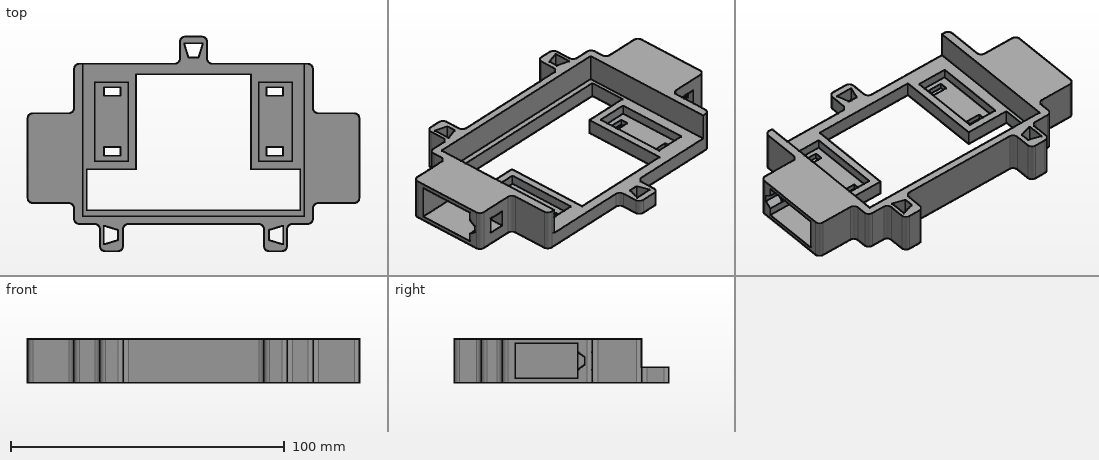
import cadquery as cq

TOTAL_LENGTH = 121.3
HEIGHT = 16.1
BODY_WIDTH = 87.3
BODY_DEPTH = 58.6
EDGE_RADIUS = 2.0

TRAY_WIDTH = 80.8
TRAY_FRONT = 2.9
FLOOR_HEIGHT = 5.8

FRONT_OPENING_WIDTH = 77.9
FRONT_OPENING_START = 5.1
OPENING_STEP = 20.0
REAR_OPENING_WIDTH = 42.0
REAR_OPENING_END = 54.7

POCKET_CENTER_X = 30.0
POCKET_WIDTH = 12.1
POCKET_START = 22.9
POCKET_LENGTH = 28.9
POCKET_FLOOR = 2.2
SLOT_CENTER_X = 29.7
SLOT_WIDTH = 6.0
SLOT_LENGTH = 3.0
SLOT_CENTERS_Y = (26.6, 48.4)

BLOCK_FRONT = 7.6
BLOCK_DEPTH = 32.9
SOCKET_FRONT = 12.4
SOCKET_WIDTH = 22.9
SOCKET_WALL = 1.7
SOCKET_DEPTH = (TOTAL_LENGTH - BODY_WIDTH) / 2

GROOVE_DEPTH = 2.5
GROOVE_LENGTH = 5.8
GROOVE_MOUTH_HEIGHT = 6.3
GROOVE_BASE_HEIGHT = 2.7
LATCH_WINDOW_LENGTH = 6.1

LUG_REACH = 10.0
REAR_LUG_WIDTH = 10.0
FRONT_LUG_CENTER_X = 30.0
FRONT_LUG_WIDTH = 8.5
DOVETAIL_DEPTH = 5.1
DOVETAIL_WIDE = 6.8
DOVETAIL_NARROW = 3.6
REAR_DOVETAIL_WALL = 2.5
FRONT_DOVETAIL_WALL = 1.5
FRONT_DOVETAIL_Y = -4.0

BLOCK_BACK = BLOCK_FRONT + BLOCK_DEPTH
SOCKET_BACK = SOCKET_FRONT + SOCKET_WIDTH
SOCKET_MOUTH_X = -TOTAL_LENGTH / 2


def box(x_center, width, y_start, y_end, z_start, z_end):
    """Box centred on x_center that spans the given Y and Z ranges."""
    return cq.Workplane("XY").box(
        width, y_end - y_start, z_end - z_start, centered=(True, False, False)
    ).translate((x_center, y_start, z_start))


def both_sides(left_shape):
    """Join a left-hand shape with its mirror image across the YZ plane."""
    return left_shape.union(left_shape.mirror("YZ"))


def dovetail(height):
    """Tapered hole centred on the origin, with its wide side on +Y."""
    outline = [
        (-DOVETAIL_WIDE / 2, DOVETAIL_DEPTH / 2),
        (DOVETAIL_WIDE / 2, DOVETAIL_DEPTH / 2),
        (DOVETAIL_NARROW / 2, -DOVETAIL_DEPTH / 2),
        (-DOVETAIL_NARROW / 2, -DOVETAIL_DEPTH / 2),
    ]
    return cq.Workplane("XY").polyline(outline).close().extrude(height)


def outer_body():
    """Body, end blocks and front lugs with every upright outer edge rounded."""
    body = box(0, BODY_WIDTH, 0, BODY_DEPTH, 0, HEIGHT)
    blocks = box(0, TOTAL_LENGTH, BLOCK_FRONT, BLOCK_BACK, 0, HEIGHT)
    lug = box(-FRONT_LUG_CENTER_X, FRONT_LUG_WIDTH, -LUG_REACH, TRAY_FRONT, 0, HEIGHT)
    return body.union(blocks).union(both_sides(lug)).edges("|Z").fillet(EDGE_RADIUS)


def rear_lug():
    """Low lug with rounded outer corners, blended into the back of the tray floor."""
    lug_end = BODY_DEPTH + LUG_REACH
    root_width = REAR_LUG_WIDTH + 4 * EDGE_RADIUS
    root = box(0, root_width, REAR_OPENING_END, BODY_DEPTH, 0, FLOOR_HEIGHT)
    lug = box(0, REAR_LUG_WIDTH, REAR_OPENING_END, lug_end, 0, FLOOR_HEIGHT)
    zone_x = REAR_LUG_WIDTH / 2 + EDGE_RADIUS
    zone_front = BODY_DEPTH - EDGE_RADIUS
    zone_back = lug_end + EDGE_RADIUS
    lug_zone = cq.selectors.BoxSelector((-zone_x, zone_front, 0), (zone_x, zone_back, FLOOR_HEIGHT))
    return root.union(lug).edges("|Z").edges(lug_zone).fillet(EDGE_RADIUS)


def lug_holes():
    """Dovetail holes of all three lugs; the wide sides of the front pair face outwards."""
    rear_y = BODY_DEPTH + LUG_REACH - REAR_DOVETAIL_WALL - DOVETAIL_DEPTH / 2
    rear = dovetail(FLOOR_HEIGHT).translate((0, rear_y, 0))
    lug_outer_x = -FRONT_LUG_CENTER_X - FRONT_LUG_WIDTH / 2
    front_x = lug_outer_x + FRONT_DOVETAIL_WALL + DOVETAIL_DEPTH / 2
    front = dovetail(HEIGHT).rotate((0, 0, 0), (0, 0, 1), 90).translate((front_x, FRONT_DOVETAIL_Y, 0))
    return both_sides(front).union(rear)


def tray_cut():
    """Open-backed tray and the T-shaped opening through its floor."""
    tray = box(0, TRAY_WIDTH, TRAY_FRONT, BODY_DEPTH, FLOOR_HEIGHT, HEIGHT)
    front_opening = box(0, FRONT_OPENING_WIDTH, FRONT_OPENING_START, OPENING_STEP, 0, HEIGHT)
    rear_opening = box(0, REAR_OPENING_WIDTH, OPENING_STEP, REAR_OPENING_END, 0, HEIGHT)
    return tray.union(front_opening).union(rear_opening)


def floor_pockets():
    """Shallow pockets in the tray floor, each with two through slots."""
    pocket_end = POCKET_START + POCKET_LENGTH
    pocket = box(-POCKET_CENTER_X, POCKET_WIDTH, POCKET_START, pocket_end, POCKET_FLOOR, FLOOR_HEIGHT)
    for slot_y in SLOT_CENTERS_Y:
        slot_start = slot_y - SLOT_LENGTH / 2
        slot = box(-SLOT_CENTER_X, SLOT_WIDTH, slot_start, slot_start + SLOT_LENGTH, 0, FLOOR_HEIGHT)
        pocket = pocket.union(slot)
    return both_sides(pocket)


def sockets():
    """Blind connector sockets in the end faces, each with a latch groove and window."""
    socket_x = SOCKET_MOUTH_X + SOCKET_DEPTH / 2
    socket = box(socket_x, SOCKET_DEPTH, SOCKET_FRONT, SOCKET_BACK, SOCKET_WALL, HEIGHT - SOCKET_WALL)
    middle_z = HEIGHT / 2
    groove_bottom = middle_z - GROOVE_MOUTH_HEIGHT / 2
    groove_top = middle_z + GROOVE_MOUTH_HEIGHT / 2
    groove_outline = [
        (SOCKET_BACK, groove_bottom),
        (SOCKET_BACK + GROOVE_DEPTH, middle_z - GROOVE_BASE_HEIGHT / 2),
        (SOCKET_BACK + GROOVE_DEPTH, middle_z + GROOVE_BASE_HEIGHT / 2),
        (SOCKET_BACK, groove_top),
    ]
    mouth_plane = cq.Workplane("YZ", origin=(SOCKET_MOUTH_X, 0, 0))
    groove = mouth_plane.polyline(groove_outline).close().extrude(GROOVE_LENGTH)
    window_x = SOCKET_MOUTH_X + GROOVE_LENGTH + LATCH_WINDOW_LENGTH / 2
    window = box(window_x, LATCH_WINDOW_LENGTH, SOCKET_BACK, BLOCK_BACK, groove_bottom, groove_top)
    return both_sides(socket.union(groove).union(window))


result = (
    outer_body()
    .cut(tray_cut())
    .union(rear_lug())
    .cut(floor_pockets())
    .cut(lug_holes())
    .cut(sockets())
)